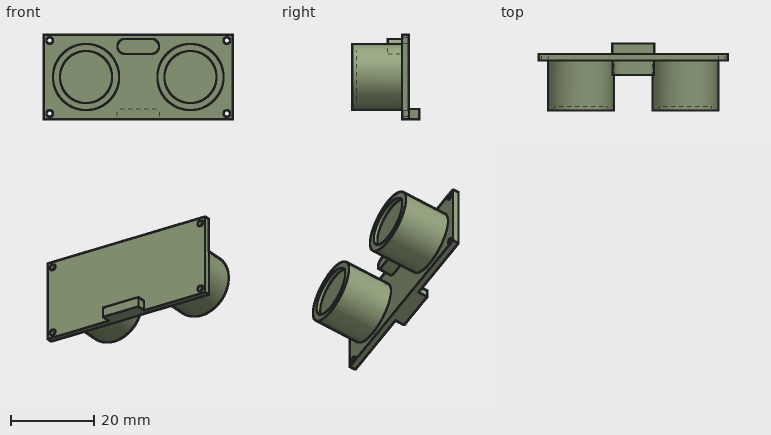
import cadquery as cq

board_width = 45.34
board_height = 20.32
board_thickness = 1.6

hole_diameter = 1.5
hole_spacing_x = 42.5
hole_spacing_z = 17.5

can_diameter = 15.88
can_length = 12.0
can_spacing = 25.04
can_recess_diameter = 12.5
can_recess_depth = 1.0

crystal_length = 10.0
crystal_width = 3.6
crystal_height = 3.5
crystal_z = 7.35

header_length = 10.16
header_height = 2.5
header_depth = 2.5


def front_plane(y=0):
    """Sketch plane facing -Y at the given Y, with X to the right and Z up."""
    return cq.Workplane("XZ", origin=(0, y, 0))


def make_board():
    """Plain board with a through hole near each corner."""
    return (
        front_plane(board_thickness)
        .rect(board_width, board_height)
        .extrude(board_thickness)
        .faces("<Y")
        .workplane(origin=(0, 0, 0))
        .rect(hole_spacing_x, hole_spacing_z, forConstruction=True)
        .vertices()
        .hole(hole_diameter)
    )


def make_transducer(x):
    """Can centred at the given X, recessed in its free end."""
    can = front_plane().center(x, 0).circle(can_diameter / 2).extrude(can_length)
    recess = (
        front_plane(can_recess_depth - can_length)
        .center(x, 0)
        .circle(can_recess_diameter / 2)
        .extrude(can_recess_depth)
    )
    return can.cut(recess)


def make_crystal():
    """Slot-shaped crystal can standing on the front of the board."""
    return front_plane().center(0, crystal_z).slot2D(crystal_length, crystal_width).extrude(crystal_height)


def make_header():
    """Rectangular header block on the back of the board."""
    header_z = (header_height - board_height) / 2
    return (
        front_plane(board_thickness + header_depth)
        .center(0, header_z)
        .rect(header_length, header_height)
        .extrude(header_depth)
    )


result = make_board().union(make_crystal()).union(make_header())
for side in (-1, 1):
    result = result.union(make_transducer(side * can_spacing / 2))